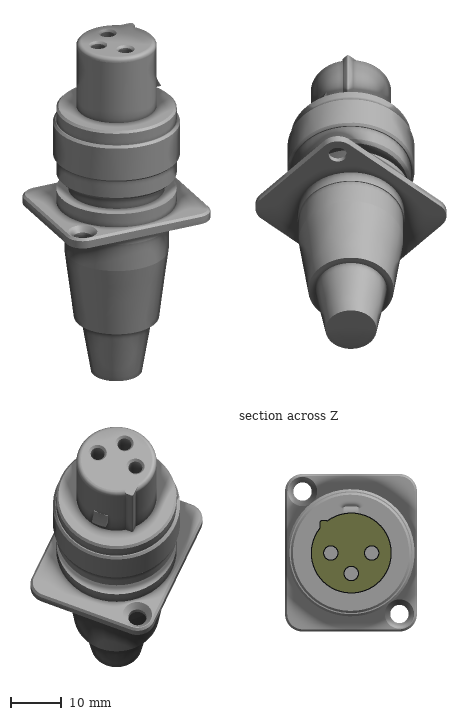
import cadquery as cq

total_height = 72.0
boot_shoulder_height = 11.9
grip_height = 26.65
sleeve_height = 32.5
plate_bottom = 35.0
plate_top = 37.0
flange_top = 39.9
collar_bottom = 42.85
band_bottom = 47.1
band_top = 54.9
collar_top = 57.9

boot_tip_radius = 5.05
boot_base_radius = 7.05
grip_tip_radius = 8.4
grip_radius = 10.3
sleeve_radius = 10.5
neck_radius = 9.5
collar_radius = 11.9
band_radius = 12.5
barrel_radius = 7.9
collar_chamfer = 0.4
collar_lower_chamfer = 0.6
band_chamfer = 0.4
barrel_fillet = 0.9

plate_width = 26.0
plate_length = 31.0
plate_corner_radius = 3.45
plate_chamfer = 0.4
screw_radius = 1.8
screw_sink_radius = 2.9
screw_sink_depth = screw_sink_radius - screw_radius
screw_x = plate_width / 2 - plate_corner_radius
screw_y = plate_length / 2 - plate_corner_radius

socket_radius = 1.4
socket_sink_radius = 1.8
socket_sink_depth = 0.4
socket_depth = 7.2
socket_circle_radius = 4.0

key_left = -6.2
key_width = 1.9
key_back = 6.4
key_front = 2.9
key_round = 0.6
key_left_round = 0.35

latch_width = 2.95
latch_radius = 9.15
latch_bottom = 60.9
latch_top = 63.5
latch_hollow = 0.15
latch_root_depth = 0.35


def cylinder(radius, bottom, top):
    return cq.Workplane("XY").workplane(offset=bottom).circle(radius).extrude(top - bottom)


def cone(bottom_radius, top_radius, bottom, top):
    profile = [(0, bottom), (bottom_radius, bottom), (top_radius, top), (0, top)]
    return cq.Workplane("XZ").polyline(profile).close().revolve(360, (0, 0), (0, 1))


def make_body():
    body = cone(boot_tip_radius, boot_base_radius, 0, boot_shoulder_height)
    body = body.union(cone(grip_tip_radius, grip_radius, boot_shoulder_height, grip_height))
    body = body.union(cylinder(grip_radius, grip_height, sleeve_height))
    body = body.union(cylinder(sleeve_radius, sleeve_height, plate_bottom))
    body = body.union(cylinder(neck_radius, plate_bottom, collar_top))
    body = body.union(cylinder(collar_radius, plate_bottom, flange_top))
    collar = cylinder(collar_radius, collar_bottom, collar_top)
    collar = collar.faces(">Z").edges().chamfer(collar_chamfer)
    collar = collar.faces("<Z").edges().chamfer(collar_lower_chamfer)
    band = cylinder(band_radius, band_bottom, band_top).edges().chamfer(band_chamfer)
    barrel = cylinder(barrel_radius, collar_bottom, total_height)
    barrel = barrel.faces(">Z").edges().fillet(barrel_fillet)
    return body.union(collar).union(band).union(barrel)


def make_plate():
    plate = cq.Workplane("XY").workplane(offset=plate_bottom)
    plate = plate.rect(plate_width, plate_length).extrude(plate_top - plate_bottom)
    plate = plate.edges("|Z").fillet(plate_corner_radius)
    return plate.faces(">Z").edges().chamfer(plate_chamfer)


def make_screw_cutter():
    hole = cylinder(screw_radius, plate_bottom, plate_top)
    hole = hole.union(cone(screw_radius, screw_sink_radius, plate_top - screw_sink_depth, plate_top))
    back_left = hole.translate((-screw_x, screw_y, 0))
    front_right = hole.translate((screw_x, -screw_y, 0))
    return back_left.union(front_right)


def make_key():
    key = cq.Workplane("XY").box(
        key_width, key_back - key_front, total_height - collar_top, centered=False
    )
    key = key.edges("|Z and >X and >Y").fillet(key_round)
    key = key.edges("|Z and <X and >Y").fillet(key_left_round)
    return key.translate((key_left, key_front, collar_top))


def make_latch():
    middle_y = (barrel_radius + latch_radius) / 2 - latch_hollow
    middle_z = (latch_bottom + latch_top) / 2
    latch = (
        cq.Workplane("YZ")
        .moveTo(barrel_radius - latch_root_depth, latch_top)
        .lineTo(barrel_radius, latch_top)
        .threePointArc((middle_y, middle_z), (latch_radius, latch_bottom))
        .lineTo(barrel_radius - latch_root_depth, latch_bottom)
        .close()
        .extrude(latch_width / 2, both=True)
    )
    return latch.intersect(cylinder(latch_radius, latch_bottom, latch_top))


def make_socket_cutter():
    sink_bottom = total_height - socket_sink_depth
    socket = cylinder(socket_radius, total_height - socket_depth, total_height)
    socket = socket.union(cone(socket_radius, socket_sink_radius, sink_bottom, total_height))
    sockets = cq.Workplane("XY")
    for x, y in [(-socket_circle_radius, 0), (socket_circle_radius, 0), (0, -socket_circle_radius)]:
        sockets = sockets.add(socket.translate((x, y, 0)))
    return sockets.combine()


plate = make_plate().cut(make_screw_cutter())
body = make_body().union(make_key()).union(make_latch())
result = body.union(plate).cut(make_socket_cutter())